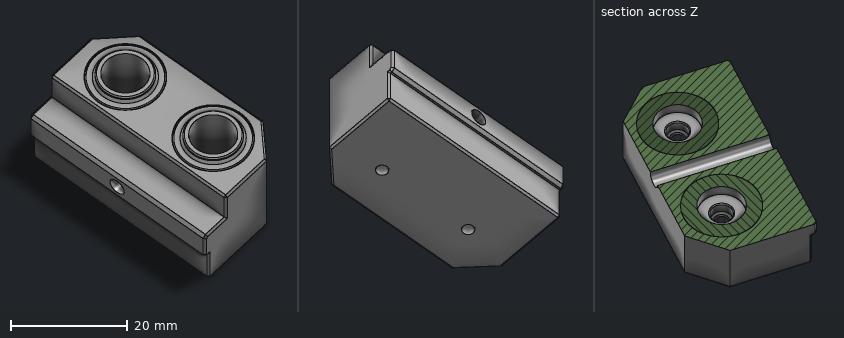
import cadquery as cq

LENGTH = 40.0
DEPTH = 22.25
HOUSING_HEIGHT = 18.95
BACK_CORNER_CUT = 6.0

LEDGE_Z = 12.95
RAIL_UNDERSIDE_Z = 7.05
UPPER_FRONT_SETBACK = 5.5
LOWER_FRONT_SETBACK = 0.95
RAIL_CHAMFER = 0.6
EDGE_CHAMFER = 0.4

CROSS_HOLE_DIAMETER = 3.2
CROSS_HOLE_Z = (LEDGE_Z + RAIL_UNDERSIDE_Z) / 2

SOCKET_SPACING = 20.0
SOCKET_FROM_BACK = 8.5
SOCKET_FLOOR_Z = 8.0
SOCKET_MOUTH_CHAMFER = 0.1
SLEEVE_DIAMETER = 14.05
SOCKET_Y = DEPTH - SOCKET_FROM_BACK
SOCKET_XS = (-SOCKET_SPACING / 2, SOCKET_SPACING / 2)

COUNTERBORE_DIAMETER = 4.1
COUNTERBORE_DEPTH = 2.0
COUNTERBORE_CHAMFER = 0.2
FLOOR_HOLE_DIAMETER = 2.3
FLOOR_HOLE_CHAMFER = 0.25

TOTAL_HEIGHT = 20.0
SLEEVE_BORE_DIAMETER = 8.45
SLEEVE_CHAMFER = 0.25
LIP_DIAMETER = 10.45
LIP_CONE = 0.5
LIP_CHAMFER = 0.25


def make_block():
    """Stepped side profile, trimmed to the plan with two cut back corners, edges chamfered."""
    profile = [
        (LOWER_FRONT_SETBACK, 0),
        (DEPTH, 0),
        (DEPTH, HOUSING_HEIGHT),
        (UPPER_FRONT_SETBACK, HOUSING_HEIGHT),
        (UPPER_FRONT_SETBACK, LEDGE_Z),
        (0, LEDGE_Z),
        (0, RAIL_UNDERSIDE_Z),
        (LOWER_FRONT_SETBACK, RAIL_UNDERSIDE_Z),
    ]
    half_length = LENGTH / 2
    block = cq.Workplane("YZ").polyline(profile).close().extrude(half_length, both=True)
    plan = [
        (-half_length, 0),
        (half_length, 0),
        (half_length, DEPTH - BACK_CORNER_CUT),
        (half_length - BACK_CORNER_CUT, DEPTH),
        (-half_length + BACK_CORNER_CUT, DEPTH),
        (-half_length, DEPTH - BACK_CORNER_CUT),
    ]
    block = block.intersect(cq.Workplane("XY").polyline(plan).close().extrude(HOUSING_HEIGHT))
    block = block.faces("<Y").edges("|X").chamfer(RAIL_CHAMFER)

    rims = block.faces("<Z or >Z").edges().vals()
    end_outlines = [
        edge
        for edge in block.faces("<X or >X").edges().vals()
        if edge.Center().y < DEPTH - BACK_CORNER_CUT and HOUSING_HEIGHT > edge.Center().z > 0
    ]
    return block.newObject(rims + end_outlines).chamfer(EDGE_CHAMFER)


def revolve_at(profile, x):
    """Turn a radius-height profile around the vertical axis of the socket at x."""
    turned = cq.Workplane("XZ").polyline(profile).close().revolve(360, (0, 0, 0), (0, 1, 0))
    return turned.translate((x, SOCKET_Y, 0))


def make_socket_cutter(x):
    """Socket with a chamfered mouth, and the stepped through hole in its floor."""
    socket_r = SLEEVE_DIAMETER / 2
    bore_r = COUNTERBORE_DIAMETER / 2
    hole_r = FLOOR_HOLE_DIAMETER / 2
    shoulder_z = SOCKET_FLOOR_Z - COUNTERBORE_DEPTH
    profile = [
        (0, 0),
        (hole_r, 0),
        (hole_r, shoulder_z - FLOOR_HOLE_CHAMFER),
        (hole_r + FLOOR_HOLE_CHAMFER, shoulder_z),
        (bore_r, shoulder_z),
        (bore_r, SOCKET_FLOOR_Z - COUNTERBORE_CHAMFER),
        (bore_r + COUNTERBORE_CHAMFER, SOCKET_FLOOR_Z),
        (socket_r, SOCKET_FLOOR_Z),
        (socket_r, HOUSING_HEIGHT - SOCKET_MOUTH_CHAMFER),
        (socket_r + SOCKET_MOUTH_CHAMFER, HOUSING_HEIGHT),
        (0, HOUSING_HEIGHT),
    ]
    return revolve_at(profile, x)


def make_housing():
    """Block with the cross hole and both sockets cut out."""
    cross_hole = (
        cq.Workplane("XZ", origin=(0, 0, CROSS_HOLE_Z))
        .circle(CROSS_HOLE_DIAMETER / 2)
        .extrude(-DEPTH)
    )
    housing = make_block().cut(cross_hole)
    for x in SOCKET_XS:
        housing = housing.cut(make_socket_cutter(x))
    return housing


def make_sleeve(x):
    """Straight-bored sleeve with a chamfered shoulder and a raised lip on a conical foot."""
    bore_r = SLEEVE_BORE_DIAMETER / 2
    sleeve_r = SLEEVE_DIAMETER / 2
    lip_r = LIP_DIAMETER / 2
    profile = [
        (bore_r, SOCKET_FLOOR_Z),
        (sleeve_r, SOCKET_FLOOR_Z),
        (sleeve_r, HOUSING_HEIGHT - SLEEVE_CHAMFER),
        (sleeve_r - SLEEVE_CHAMFER, HOUSING_HEIGHT),
        (lip_r + LIP_CONE, HOUSING_HEIGHT),
        (lip_r, HOUSING_HEIGHT + LIP_CONE),
        (lip_r, TOTAL_HEIGHT - LIP_CHAMFER),
        (lip_r - LIP_CHAMFER, TOTAL_HEIGHT),
        (bore_r, TOTAL_HEIGHT),
    ]
    return revolve_at(profile, x)


housing = make_housing()
sleeves = [make_sleeve(x) for x in SOCKET_XS]

result = cq.Compound.makeCompound([housing.val(), *[sleeve.val() for sleeve in sleeves]])